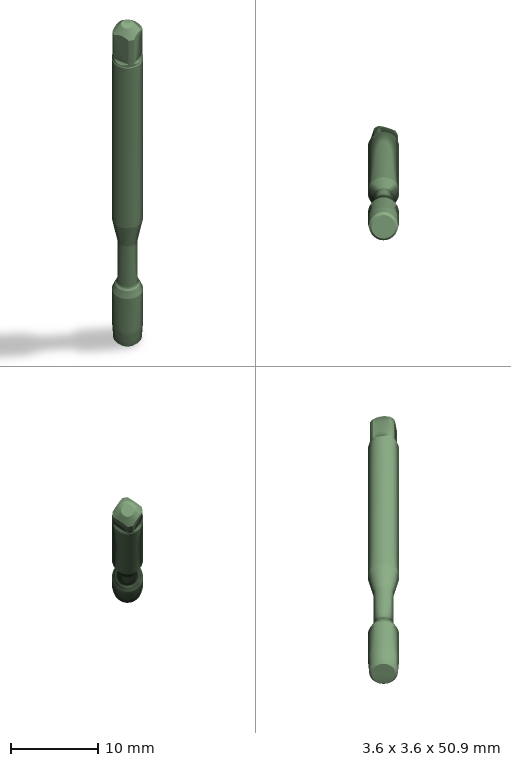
import cadquery as cq

total_length = 50.9

head_diameter = 3.55
tip_diameter = 2.75
lead_start_diameter = 3.3
lead_start_z = 0.35
lead_end_z = 2.55
shoulder_start_z = 8.1
shoulder_end_z = 9.05
shoulder_end_diameter = 2.85
head_end_z = 9.45

neck_diameter = 2.35
shank_diameter = 3.6
neck_end_z = 16.05
shank_start_z = 19.6
shank_end_z = 45.5
drive_start_z = 45.6

drive_diameter = 3.45
across_flats = 2.85
flat_start_z = 46.05
point_diameter = 1.5
point_height = (drive_diameter - point_diameter) / 2


def make_head():
    """Tapered lead, cylindrical land, conical shoulder and concave root of the neck."""
    neck_radius = neck_diameter / 2
    shoulder_end_radius = shoulder_end_diameter / 2
    root_height = head_end_z - shoulder_end_z
    root_width = shoulder_end_radius - neck_radius
    root_radius = (root_width**2 + root_height**2) / (2 * root_width)
    outline = (
        cq.Workplane("XZ")
        .moveTo(0, 0)
        .lineTo(tip_diameter / 2, 0)
        .lineTo(lead_start_diameter / 2, lead_start_z)
        .lineTo(head_diameter / 2, lead_end_z)
        .lineTo(head_diameter / 2, shoulder_start_z)
        .lineTo(shoulder_end_radius, shoulder_end_z)
        .radiusArc((neck_radius, head_end_z), root_radius)
        .lineTo(0, head_end_z)
        .close()
    )
    return outline.revolve(360, (0, 0), (0, 1))


def flat_cutter():
    """Cutter for the +X drive flat, running out at 45 degrees at its lower end."""
    inner_x = across_flats / 2
    outer_x = shank_diameter
    runout_z = flat_start_z - (outer_x - inner_x)
    side = [
        (inner_x, flat_start_z),
        (outer_x, runout_z),
        (outer_x, total_length),
        (inner_x, total_length),
    ]
    return cq.Workplane("XZ").polyline(side).close().extrude(shank_diameter, both=True)


def make_shank():
    """Neck, taper, cylindrical shank and pointed square drive."""
    outline = [
        (0, head_end_z),
        (neck_diameter / 2, head_end_z),
        (neck_diameter / 2, neck_end_z),
        (shank_diameter / 2, shank_start_z),
        (shank_diameter / 2, shank_end_z),
        (drive_diameter / 2, drive_start_z),
        (drive_diameter / 2, total_length - point_height),
        (point_diameter / 2, total_length),
        (0, total_length),
    ]
    body = cq.Workplane("XZ").polyline(outline).close().revolve(360, (0, 0), (0, 1))
    for angle in (0, 90, 180, 270):
        body = body.cut(flat_cutter().rotate((0, 0, 0), (0, 0, 1), angle))
    return body


head = make_head()
shank = make_shank()

result = cq.Compound.makeCompound([head.val(), shank.val()])